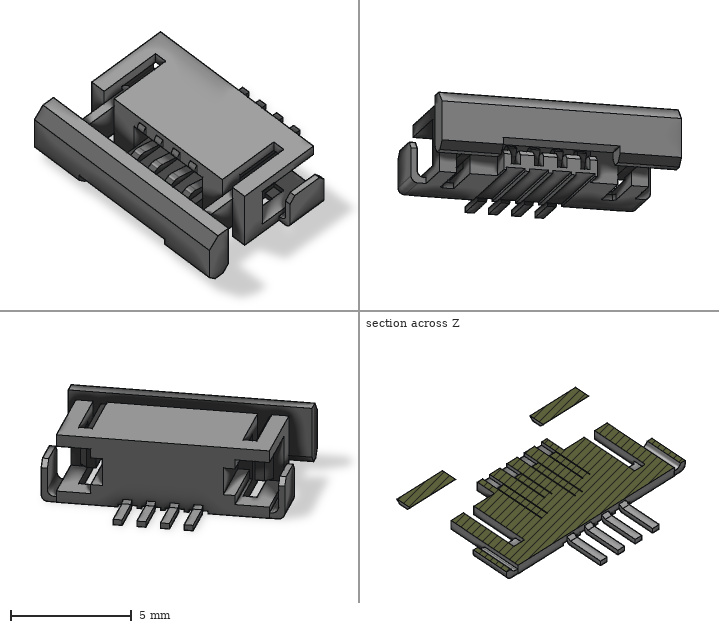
import cadquery as cq
import math


housing_width = 9.0
housing_depth = 4.01
housing_height = 3.01
floor_height = 0.91

tongue_width = 4.02
tongue_front = -5.02
tongue_chamfer = 0.22
cavity_top = 2.22
cavity_rear = -1.5

slot_inner_x = 3.18
slot_outer_x = 3.77
slot_rear = -1.01

window_depth = 2.97
window_bottom = 0.5
window_top = 2.49
window_inner_x = 3.05
recess_inner_x = 2.55
recess_top = 2.09

contact_count = 4
contact_pitch = 1.0
contact_width = 0.38
groove_width = 0.39
groove_floor = 0.28
relief_width = 0.8
relief_height = 0.11
tail_end = 2.0
tail_thickness = 0.25
tail_bend = 0.22
tail_rise = 0.11
spring_rear_top = 0.63
spring_crest = (-4.05, 1.24)
spring_lead_in = (-4.33, 1.2)
spring_tip = (-4.51, 1.09)
spring_chin = (-4.32, 0.76)
spring_underside = (-4.15, 0.45)
root_front = -3.71
root_middle = (-3.69, 0.36)
root_undercut = 0.06
nose_radius = 0.28
nose_center_y = -3.84
nose_center_z = 2.49
nose_lead_in_angle = math.radians(30)

tab_outer_x = 5.15
tab_thickness = 0.27
tab_rear = -0.02
tab_front = -2.01
tab_height = 1.8
tab_chamfer_y = 0.28
tab_chamfer_z = 0.32
tab_bend_radius = 0.29
foot_thickness = 0.25
foot_narrow_front = -1.51
foot_taper_x = 3.65

bar_length = 10.3
bar_rear = -5.59
bar_front = -6.71
bar_bottom = 0.28
bar_top = 2.78
bar_top_chamfer = 0.5
bar_bottom_chamfer = 0.33
bar_notch_width = 5.03
arm_inner_x = 3.36
arm_rear = -2.6
arm_bottom = 0.61
arm_top = 2.28
barb_front = -2.9
barb_reach = 0.31


def box(x_min, x_max, y_min, y_max, z_min, z_max):
    size = (x_max - x_min, y_max - y_min, z_max - z_min)
    return cq.Workplane("XY").box(*size, centered=False).translate((x_min, y_min, z_min))


def centered_box(width, y_min, y_max, z_min, z_max, x=0):
    return box(x - width / 2, x + width / 2, y_min, y_max, z_min, z_max)


def across(profile, width):
    """Extrude a closed Y-Z profile along X, centred on X = 0."""
    return profile.extrude(width / 2, both=True)


def both_sides(shape):
    """Join a shape on the +X side with its mirror image."""
    return shape.union(shape.mirror("YZ"))


contact_positions = [(i - (contact_count - 1) / 2) * contact_pitch for i in range(contact_count)]


def make_tongue():
    profile = (
        cq.Workplane("YZ")
        .moveTo(-housing_depth, 0)
        .lineTo(tongue_front, 0)
        .lineTo(tongue_front, floor_height - tongue_chamfer)
        .lineTo(tongue_front + tongue_chamfer, floor_height)
        .lineTo(-housing_depth, floor_height)
        .close()
    )
    return across(profile, tongue_width)


def make_side_openings():
    half_width = housing_width / 2
    slot = box(slot_inner_x, slot_outer_x, -housing_depth, slot_rear, 0, housing_height)
    window = box(window_inner_x, half_width, -window_depth, 0, window_bottom, window_top)
    recess = box(recess_inner_x, window_inner_x, -window_depth, 0, floor_height, recess_top)
    return both_sides(slot.union(window).union(recess))


def make_housing():
    housing = centered_box(housing_width, -housing_depth, 0, 0, housing_height)
    housing = housing.union(make_tongue()).cut(make_side_openings())
    housing = housing.cut(
        centered_box(tongue_width, -housing_depth, cavity_rear, floor_height, cavity_top)
    )
    for x in contact_positions:
        groove = centered_box(groove_width, tongue_front, cavity_rear, groove_floor, floor_height, x)
        relief = centered_box(relief_width, tongue_front, 0, 0, relief_height, x)
        housing = housing.cut(groove).cut(relief)
    return housing


def make_contact():
    spring_profile = (
        cq.Workplane("YZ")
        .moveTo(cavity_rear, groove_floor)
        .lineTo(cavity_rear, spring_rear_top)
        .lineTo(*spring_crest)
        .tangentArcPoint(spring_lead_in, relative=False)
        .lineTo(*spring_tip)
        .lineTo(*spring_chin)
        .lineTo(*spring_underside)
        .lineTo(root_front, spring_underside[1])
        .threePointArc(root_middle, (root_front + root_undercut, groove_floor))
        .close()
    )
    lead_in_y = nose_center_y - nose_radius * math.cos(nose_lead_in_angle)
    lead_in_z = nose_center_z - nose_radius * math.sin(nose_lead_in_angle)
    run_out_y = lead_in_y + (lead_in_z - cavity_top) * math.tan(nose_lead_in_angle)
    nose_profile = (
        cq.Workplane("YZ")
        .moveTo(nose_center_y, nose_center_z + nose_radius)
        .threePointArc((nose_center_y - nose_radius, nose_center_z), (lead_in_y, lead_in_z))
        .lineTo(run_out_y, cavity_top)
        .lineTo(nose_center_y, cavity_top)
        .close()
    )
    tail_profile = (
        cq.Workplane("YZ")
        .moveTo(tail_end, 0)
        .lineTo(tail_end, tail_thickness)
        .lineTo(tail_bend, tail_thickness)
        .lineTo(0, tail_thickness + tail_rise)
        .lineTo(0, tail_rise)
        .lineTo(tail_rise, 0)
        .close()
    )
    contact = across(spring_profile, contact_width)
    for profile in (nose_profile, tail_profile):
        contact = contact.union(across(profile, contact_width))
    return contact


def make_tab():
    plate_inner_x = tab_outer_x - tab_thickness
    upright = box(plate_inner_x, tab_outer_x, tab_front, tab_rear, 0, tab_height)
    for y, direction in ((tab_rear, -1), (tab_front, 1)):
        corner = (
            cq.Workplane("YZ")
            .moveTo(y, tab_height)
            .lineTo(y + direction * tab_chamfer_y, tab_height)
            .lineTo(y, tab_height - tab_chamfer_z)
            .close()
            .extrude(tab_outer_x)
        )
        upright = upright.cut(corner)

    foot_step = foot_narrow_front - tab_front
    foot = (
        cq.Workplane("XY")
        .moveTo(slot_inner_x, tab_rear)
        .lineTo(tab_outer_x, tab_rear)
        .lineTo(tab_outer_x, tab_front)
        .lineTo(foot_taper_x + foot_step, tab_front)
        .lineTo(foot_taper_x, foot_narrow_front)
        .lineTo(slot_inner_x, foot_narrow_front)
        .close()
        .extrude(foot_thickness)
    )
    tab = upright.union(foot)
    inner_bend = cq.selectors.NearestToPointSelector((plate_inner_x, tab_front / 2, foot_thickness))
    outer_bend = cq.selectors.NearestToPointSelector((tab_outer_x, tab_front / 2, 0))
    return tab.edges(inner_bend).fillet(tab_bend_radius).edges(outer_bend).fillet(tab_bend_radius)


def make_arm():
    plan = (
        cq.Workplane("XY")
        .workplane(offset=arm_bottom)
        .moveTo(arm_inner_x, bar_rear)
        .lineTo(slot_outer_x, bar_rear)
        .lineTo(slot_outer_x, barb_front)
        .lineTo(slot_outer_x + barb_reach, barb_front)
        .lineTo(slot_outer_x, arm_rear)
        .lineTo(arm_inner_x, arm_rear)
        .close()
    )
    return plan.extrude(arm_top - arm_bottom)


def make_slider():
    profile = (
        cq.Workplane("YZ")
        .moveTo(bar_rear, bar_top)
        .lineTo(bar_front + bar_top_chamfer, bar_top)
        .lineTo(bar_front, bar_top - bar_top_chamfer)
        .lineTo(bar_front, bar_bottom + bar_bottom_chamfer)
        .lineTo(bar_front + bar_bottom_chamfer, bar_bottom)
        .lineTo(bar_rear - bar_bottom_chamfer, bar_bottom)
        .lineTo(bar_rear, bar_bottom + bar_bottom_chamfer)
        .close()
    )
    notch = centered_box(bar_notch_width, bar_front, bar_rear, bar_bottom, floor_height)
    return across(profile, bar_length).cut(notch).union(both_sides(make_arm()))


result = make_housing()
for contact_x in contact_positions:
    result = result.union(make_contact().translate((contact_x, 0, 0)))
result = result.union(both_sides(make_tab()))
result = result.union(make_slider())